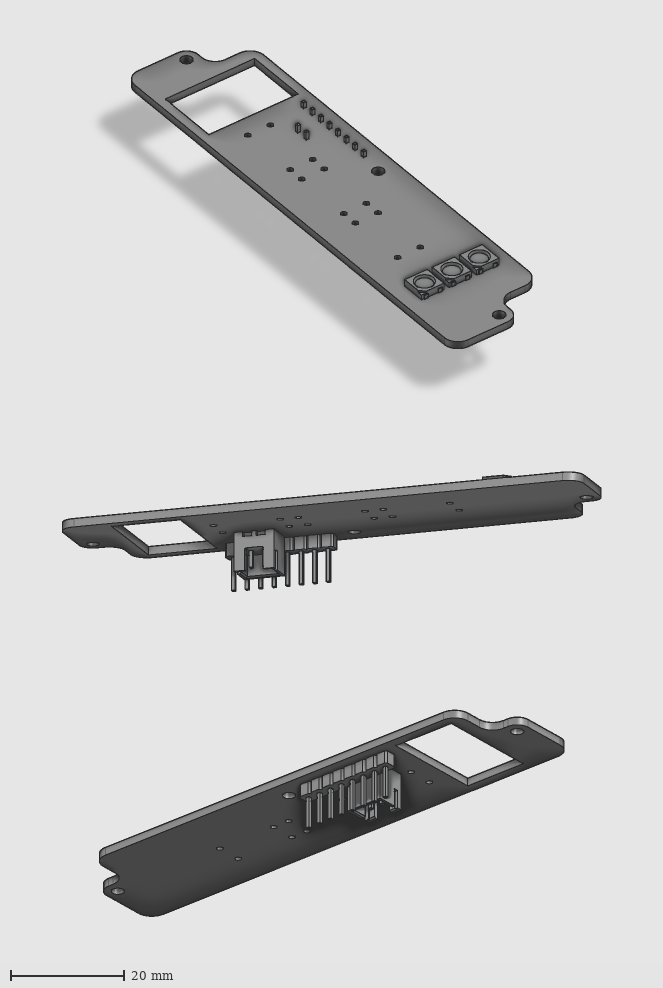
import cadquery as cq

BOARD_LENGTH = 97.5
BOARD_WIDTH = 23.5
BOARD_THICKNESS = 1.6
UPPER_LENGTH = 84.3
EAR_TOP_Y = 2.5
CORNER_RADIUS = 3.0
EAR_RADIUS = 2.5

WINDOW_LENGTH = 12.9
WINDOW_WIDTH = 19.7
WINDOW_X = -32.9

SCREW_HOLE_DIAMETER = 2.3
EAR_HOLE_X = 46.2
CENTRE_HOLE_Y = 7.8

LEAD_HOLE_DIAMETER = 1.2
SWITCH_COUNT = 3
SWITCH_PITCH = 15.9
LEAD_SPACING_X = 12.5
LEAD_SPACING_Y = 5.0
SWITCH_Y = -1.95

PIN_WIDTH = 0.64
PIN_PITCH = 2.5

HEADER_PIN_COUNT = 8
HEADER_X = -13.9
HEADER_Y = 8.4
HEADER_HEIGHT = 2.4
HEADER_CORNER = 0.4
HEADER_PIN_RISE = 1.3
HEADER_PIN_DROP = 8.6
HEADER_TIP_CHAMFER = 0.1

SOCKET_PIN_COUNT = 2
SOCKET_LENGTH = 7.5
SOCKET_WIDTH = 5.8
SOCKET_HEIGHT = 7.1
SOCKET_X = -16.5
SOCKET_Y = 3.9
SOCKET_WALL = 0.8
SOCKET_FLOOR = 3.0
MOUTH_CHAMFER = 0.3
FRONT_SLOT_LENGTH = 3.5
FRONT_SLOT_RADIUS = 0.4
SIDE_SLOT_WIDTH = 0.9
SIDE_SLOT_HEIGHT = 3.5
SIDE_SLOT_Y = 2.4
NOTCH_LENGTH = 1.7
NOTCH_HEIGHT = 0.9
SOCKET_PIN_Y = 3.3
SOCKET_PIN_RISE = 1.8
SOCKET_PIN_DROP = 6.2
SOCKET_TIP_CHAMFER = 0.2

LAMP_COUNT = 3
LAMP_PITCH = 6.0
LAMP_X = 32.1
LAMP_Y = 0.1
LAMP_SIZE = 5.0
LAMP_HEIGHT = 1.5
LENS_TOP_DIAMETER = 3.9
LENS_FLOOR_DIAMETER = 3.3
LENS_DEPTH = 0.5
MARK_SIZE = 1.1
MARK_DEPTH = 0.4
LEAD_WIDTH = 0.9
LEAD_HEIGHT = 0.9
LEAD_OFFSET_Y = 1.6
LEAD_REACH = 0.2


def centred_row(count, pitch, centre=0.0):
    """Evenly spaced positions about a centre."""
    return [centre + (i - (count - 1) / 2) * pitch for i in range(count)]


HEADER_XS = centred_row(HEADER_PIN_COUNT, PIN_PITCH, HEADER_X)
SOCKET_XS = centred_row(SOCKET_PIN_COUNT, PIN_PITCH, SOCKET_X)


def box_between(x_range, y_range, z_range):
    """Box given by its limits along each axis."""
    (x0, x1), (y0, y1), (z0, z1) = x_range, y_range, z_range
    return cq.Workplane("XY").box(x1 - x0, y1 - y0, z1 - z0, centered=False).translate((x0, y0, z0))


def square_pin(x, y, bottom, top, tip_chamfer):
    """Upright square pin with both tips tapered."""
    pin = cq.Workplane("XY").box(PIN_WIDTH, PIN_WIDTH, top - bottom, centered=(True, True, False))
    return pin.faces("<Z or >Z").chamfer(tip_chamfer).translate((x, y, bottom))


def make_board():
    half_length = BOARD_LENGTH / 2
    half_width = BOARD_WIDTH / 2
    half_upper = UPPER_LENGTH / 2
    board = (
        cq.Workplane("XY")
        .polyline([
            (-half_length, -half_width),
            (half_length, -half_width),
            (half_length, EAR_TOP_Y),
            (half_upper, EAR_TOP_Y),
            (half_upper, half_width),
            (-half_upper, half_width),
            (-half_upper, EAR_TOP_Y),
            (-half_length, EAR_TOP_Y),
        ])
        .close()
        .extrude(BOARD_THICKNESS)
    )
    nearest = cq.selectors.NearestToPointSelector
    ear_z = BOARD_THICKNESS / 2
    ear_edges = nearest((-half_length, EAR_TOP_Y, ear_z)) + nearest((half_length, EAR_TOP_Y, ear_z))
    plain_edges = cq.selectors.StringSyntaxSelector("|Z") - ear_edges
    board = board.edges(plain_edges).fillet(CORNER_RADIUS)
    board = board.edges(ear_edges).fillet(EAR_RADIUS)

    window = (
        cq.Workplane("XY").center(WINDOW_X, 0).rect(WINDOW_LENGTH, WINDOW_WIDTH).extrude(BOARD_THICKNESS)
    )

    screw_holes = (
        cq.Workplane("XY")
        .pushPoints([(-EAR_HOLE_X, 0), (EAR_HOLE_X, 0), (0, CENTRE_HOLE_Y)])
        .circle(SCREW_HOLE_DIAMETER / 2)
        .extrude(BOARD_THICKNESS)
    )

    lead_points = [
        (x, y)
        for switch_x in centred_row(SWITCH_COUNT, SWITCH_PITCH)
        for x in centred_row(2, LEAD_SPACING_X, switch_x)
        for y in centred_row(2, LEAD_SPACING_Y, SWITCH_Y)
    ]
    lead_holes = (
        cq.Workplane("XY").pushPoints(lead_points).circle(LEAD_HOLE_DIAMETER / 2).extrude(BOARD_THICKNESS)
    )

    pin_points = [(x, HEADER_Y) for x in HEADER_XS] + [(x, SOCKET_PIN_Y) for x in SOCKET_XS]
    pin_holes = cq.Workplane("XY").pushPoints(pin_points).rect(PIN_WIDTH, PIN_WIDTH).extrude(BOARD_THICKNESS)

    return board.cut(window).cut(screw_holes).cut(lead_holes).cut(pin_holes)


def make_header():
    """Row of corner-chamfered segments, each with its pin."""
    segment = (
        cq.Workplane("XY")
        .box(PIN_PITCH, PIN_PITCH, HEADER_HEIGHT, centered=(True, True, False))
        .edges("|Z")
        .chamfer(HEADER_CORNER)
        .translate((0, HEADER_Y, -HEADER_HEIGHT))
    )
    header = cq.Workplane("XY")
    for x in HEADER_XS:
        header = header.union(segment.translate((x, 0, 0)))
    for x in HEADER_XS:
        pin_top = BOARD_THICKNESS + HEADER_PIN_RISE
        header = header.union(square_pin(x, HEADER_Y, -HEADER_PIN_DROP, pin_top, HEADER_TIP_CHAMFER))
    return header


def make_socket():
    """Box open at the bottom, slotted in the front and side walls, with two pins inside."""
    left = SOCKET_X - SOCKET_LENGTH / 2
    right = SOCKET_X + SOCKET_LENGTH / 2
    front = SOCKET_Y - SOCKET_WIDTH / 2
    back = SOCKET_Y + SOCKET_WIDTH / 2
    cavity_z = (-SOCKET_HEIGHT, -SOCKET_FLOOR)

    socket = box_between((left, right), (front, back), (-SOCKET_HEIGHT, 0))
    cavity = box_between(
        (left + SOCKET_WALL, right - SOCKET_WALL),
        (front + SOCKET_WALL, back - SOCKET_WALL),
        cavity_z,
    )
    socket = socket.cut(cavity)
    mouth = (
        cq.Workplane("XY", origin=(SOCKET_X, SOCKET_Y, -SOCKET_HEIGHT))
        .rect(
            SOCKET_LENGTH - 2 * (SOCKET_WALL - MOUTH_CHAMFER),
            SOCKET_WIDTH - 2 * (SOCKET_WALL - MOUTH_CHAMFER),
        )
        .workplane(offset=MOUTH_CHAMFER)
        .rect(SOCKET_LENGTH - 2 * SOCKET_WALL, SOCKET_WIDTH - 2 * SOCKET_WALL)
        .loft()
    )
    socket = socket.cut(mouth)

    front_slot = box_between(
        (SOCKET_X - FRONT_SLOT_LENGTH / 2, SOCKET_X + FRONT_SLOT_LENGTH / 2),
        (front, front + SOCKET_WALL),
        cavity_z,
    )
    front_slot = front_slot.edges("|Y and >Z").fillet(FRONT_SLOT_RADIUS)
    side_slots = box_between(
        (left, right),
        (SIDE_SLOT_Y - SIDE_SLOT_WIDTH / 2, SIDE_SLOT_Y + SIDE_SLOT_WIDTH / 2),
        (-SOCKET_HEIGHT, SIDE_SLOT_HEIGHT - SOCKET_HEIGHT),
    )
    socket = socket.cut(front_slot).cut(side_slots)

    for x in SOCKET_XS:
        notch = box_between(
            (x - NOTCH_LENGTH / 2, x + NOTCH_LENGTH / 2),
            (front, front + SOCKET_WALL),
            (-NOTCH_HEIGHT, 0),
        )
        socket = socket.cut(notch)
    for x in SOCKET_XS:
        pin_top = BOARD_THICKNESS + SOCKET_PIN_RISE
        socket = socket.union(square_pin(x, SOCKET_PIN_Y, -SOCKET_PIN_DROP, pin_top, SOCKET_TIP_CHAMFER))
    return socket


def make_lamp(centre_y):
    """Square lamp with a tapered round recess, a corner mark and four leads."""
    half = LAMP_SIZE / 2
    lamp = cq.Workplane("XY").box(LAMP_SIZE, LAMP_SIZE, LAMP_HEIGHT, centered=(True, True, False))

    recess = (
        cq.Workplane("XY", origin=(0, 0, LAMP_HEIGHT - LENS_DEPTH))
        .circle(LENS_FLOOR_DIAMETER / 2)
        .workplane(offset=LENS_DEPTH)
        .circle(LENS_TOP_DIAMETER / 2)
        .loft()
    )
    mark = (
        cq.Workplane("XY", origin=(0, 0, LAMP_HEIGHT - MARK_DEPTH))
        .polyline([(half, -half), (half, MARK_SIZE - half), (half - MARK_SIZE, -half)])
        .close()
        .extrude(MARK_DEPTH)
    )
    lamp = lamp.cut(recess).cut(mark)

    for y in (-LEAD_OFFSET_Y, LEAD_OFFSET_Y):
        for inner, outer in ((-half - LEAD_REACH, -half), (half, half + LEAD_REACH)):
            lead = box_between((inner, outer), (y - LEAD_WIDTH / 2, y + LEAD_WIDTH / 2), (0, LEAD_HEIGHT))
            lamp = lamp.union(lead)
    return lamp.translate((LAMP_X, centre_y, BOARD_THICKNESS))


board = make_board()
header = make_header()
socket = make_socket()
lamps = [make_lamp(y) for y in centred_row(LAMP_COUNT, LAMP_PITCH, LAMP_Y)]

result = cq.Compound.makeCompound([
    board.val(),
    header.val(),
    socket.val(),
    *[lamp.val() for lamp in lamps],
])